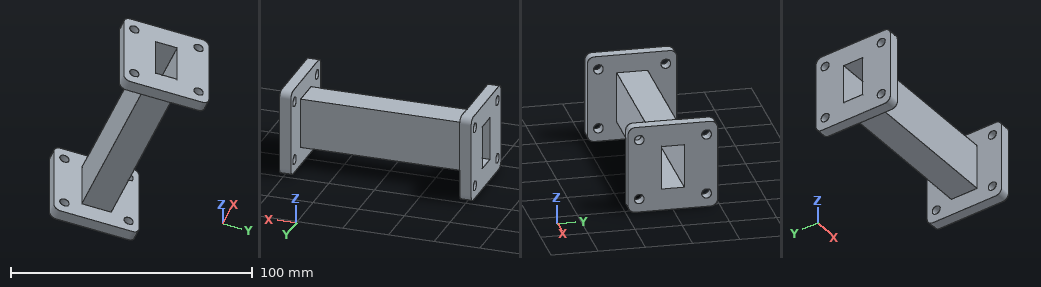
import cadquery as cq

length = 84.0
flange_side = 38.0
flange_thickness = 5.0
flange_corner_radius = 3.0

tube_width = 13.1
tube_height = 22.0
bore_width = 9.6
bore_height = 19.0

hole_diameter = 4.0
hole_spacing_y = 28.6
hole_spacing_z = 26.4


def make_flange(center_x):
    """Square plate with rounded corners, normal to X."""
    plate = cq.Workplane("XY").box(flange_thickness, flange_side, flange_side)
    return plate.edges("|X").fillet(flange_corner_radius).translate((center_x, 0, 0))


body = cq.Workplane("XY").box(length - flange_thickness, tube_width, tube_height)
flange_offset = (length - flange_thickness) / 2
for side in (-1, 1):
    body = body.union(make_flange(side * flange_offset))

bore = cq.Workplane("XY").box(length, bore_width, bore_height)

bolt_holes = (
    cq.Workplane("YZ")
    .rarray(hole_spacing_y, hole_spacing_z, 2, 2)
    .circle(hole_diameter / 2)
    .extrude(length / 2, both=True)
)

result = body.cut(bore).cut(bolt_holes)